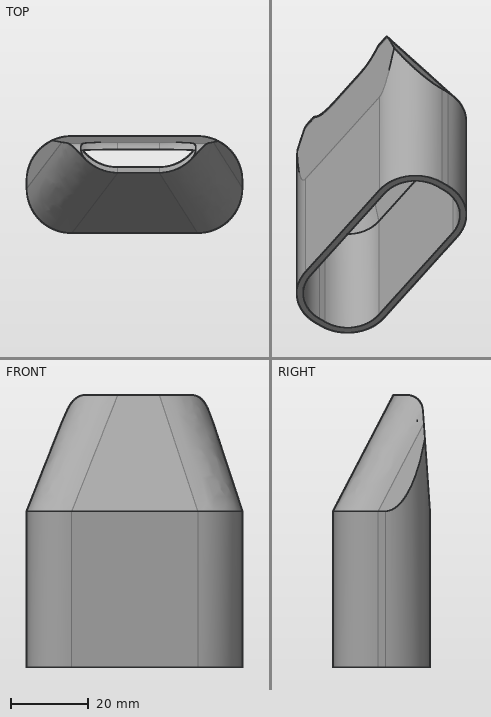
import cadquery as cq
import math

width = 55.5
depth = 25.0
height = 70.0
corner_radius = 11.55
wall = 1.7

shoulder_height = 40.1
front_setback = 15.55
left_taper = 11.8
right_taper = 9.9

back_lean = 2.1
rim_radius = 4.2

mouth_radius = 9.8
mouth_start_angle = 10.0
mouth_sweep = 70.0

overlap = 14.0
hood_back = depth


def slot_body(inset):
    """Full-height rounded rectangular prism, inset on every side."""
    return (
        cq.Workplane("XY")
        .rect(width - 2 * inset, depth - 2 * inset)
        .extrude(height)
        .edges("|Z")
        .fillet(corner_radius - inset)
    )


def hood_section(plane, left, right, front, radius):
    """Closed section with two rounded front corners and a plain back."""
    bend = radius * (1 - 0.5 ** 0.5)
    return (
        plane.moveTo(left + radius, front)
        .lineTo(right - radius, front)
        .threePointArc((right - bend, front + bend), (right, front + radius))
        .lineTo(right, hood_back)
        .lineTo(left, hood_back)
        .lineTo(left, front + radius)
        .threePointArc((left + bend, front + bend), (left + radius, front))
        .close()
    )


def top_section(plane, inset):
    """Section at the hood's top."""
    return hood_section(
        plane,
        inset - width / 2 + left_taper,
        width / 2 - inset - right_taper,
        inset - depth / 2 + front_setback,
        corner_radius - inset,
    )


def tapered_hood(inset):
    """Oblique taper from the shoulder to the top."""
    base = hood_section(
        cq.Workplane("XY").workplane(offset=shoulder_height),
        inset - width / 2,
        width / 2 - inset,
        inset - depth / 2,
        corner_radius - inset,
    )
    top_plane = base.workplane(offset=height - shoulder_height)
    return top_section(top_plane, inset).loft(ruled=True)


def mouth_scoop():
    """The outer top section turned down about an axis along X below the front rim."""
    start = math.radians(mouth_start_angle)
    axis_y = front_setback - depth / 2 - mouth_radius * math.sin(start)
    axis_drop = mouth_radius * math.cos(start)
    top = top_section(cq.Workplane("XY").workplane(offset=height), 0)
    return top.revolve(mouth_sweep, (0.7, axis_y, -axis_drop), (0, axis_y, -axis_drop))


def side_envelope(inset):
    """Side profile with the leaning back face, extruded across the width."""
    back = depth / 2 - inset
    return (
        cq.Workplane("YZ")
        .moveTo(-depth, 0)
        .lineTo(back, 0)
        .lineTo(back, shoulder_height)
        .lineTo(back - back_lean, height)
        .lineTo(-depth, height)
        .close()
        .extrude(width / 2 + overlap, both=True)
    )


def form(inset):
    """Body and hood, inset from the outer surface."""
    lower = cq.Workplane("XY").box(2 * width, 2 * depth, shoulder_height, centered=(True, True, False))
    limits = lower.union(tapered_hood(inset))
    return slot_body(inset).intersect(limits).intersect(side_envelope(inset))


def rounded_rim_envelope():
    """Outer side profile with its top back edge rounded."""
    return side_envelope(0).edges("|X and >Z").edges(">Y").fillet(rim_radius)


hollow = form(0).cut(form(wall))
result = hollow.intersect(rounded_rim_envelope()).cut(mouth_scoop())